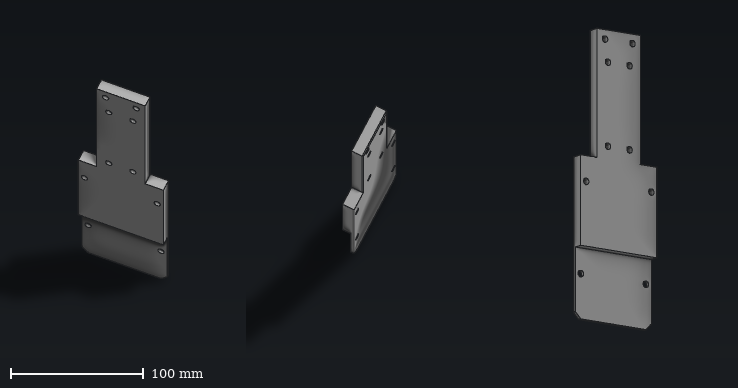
import cadquery as cq

height = 225.0
body_width = 70.0
thickness = 10.0

tongue_width = 40.0
tongue_length = 100.0
shoulder_z = height - tongue_length

foot_height = 55.0
foot_thickness = 3.0
corner_cut = 5.0

bevel = 1.0
edge_radius = 1.0

hole_diameter = 5.0
hole_pairs = [
    (12.5, 7.5),
    (10.0, 25.0),
    (10.0, 90.0),
    (30.0, 120.0),
    (30.0, 190.0),
]


def block(width, depth, bottom, top):
    """Box centred on X, running forward from Y = 0, between two heights."""
    return cq.Workplane("XY").box(width, depth, top - bottom, centered=(True, True, False)).translate(
        (0, -depth / 2, bottom)
    )


def make_tongue():
    tongue = block(tongue_width, thickness, shoulder_z, height)
    return tongue.faces(">Y").edges("|Z or >Z").chamfer(bevel)


def make_corner_wedge(side):
    """Triangular cutter for one bottom corner; side is -1 for left, 1 for right."""
    corner_x = side * body_width / 2
    outline = [(corner_x, 0), (corner_x - side * corner_cut, 0), (corner_x, corner_cut)]
    return cq.Workplane("XZ").polyline(outline).close().extrude(foot_thickness)


def make_body():
    foot = block(body_width, foot_thickness, 0, foot_height)
    upper = block(body_width, thickness, foot_height, shoulder_z)
    body = foot.union(upper)
    body = body.faces(">Y").edges("|Z").fillet(edge_radius)
    return body.cut(make_corner_wedge(-1)).cut(make_corner_wedge(1))


def make_holes():
    points = [(side * half, height - drop) for half, drop in hole_pairs for side in (-1, 1)]
    return cq.Workplane("XZ").pushPoints(points).circle(hole_diameter / 2).extrude(thickness)


result = make_body().union(make_tongue()).cut(make_holes())